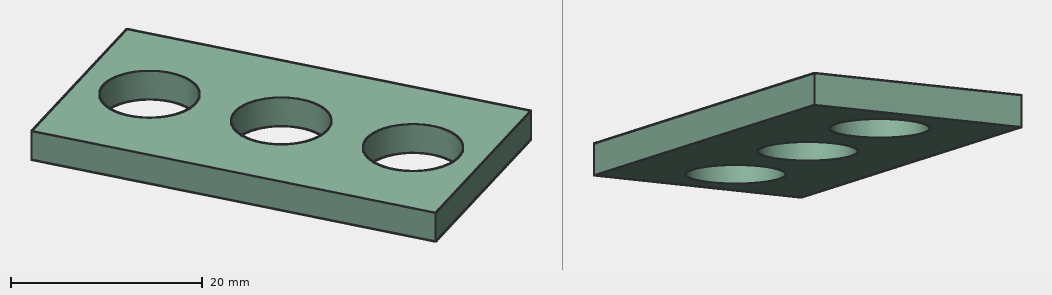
import cadquery as cq

length = 46.0
width = 25.0
thickness = 3.4

hole_count = 3
hole_diameter = 10.5
hole_pitch = 15.0

plate = cq.Workplane("XY").box(length, width, thickness)

result = (
    plate.faces(">Z")
    .workplane()
    .rarray(hole_pitch, 0.45, hole_count, 1)
    .hole(hole_diameter)
)